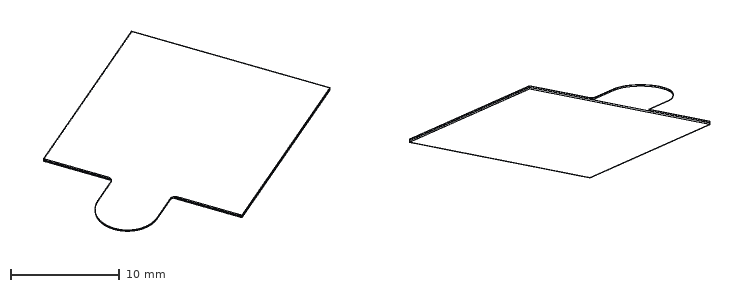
import cadquery as cq

overall_length = 26.5
side = 20.0
sheet_thickness = 0.15
tab_width = 6.0
fillet_radius = 0.5

tab_radius = tab_width / 2
front_edge_y = -side / 2
tab_tip_y = side / 2 - overall_length
tab_arc_center_y = tab_tip_y + tab_radius


def make_backing_sheet():
    """Plain square sheet lying on Z = 0."""
    return cq.Workplane("XY").rect(side, side).extrude(sheet_thickness)


def make_tabbed_sheet():
    """Square sheet on top of the backing, with a round-ended pull tab on its -Y edge."""
    sheet_plane = cq.Workplane("XY").workplane(offset=sheet_thickness)
    square = sheet_plane.rect(side, side).extrude(sheet_thickness)
    tab = (
        sheet_plane.moveTo(-tab_radius, front_edge_y)
        .lineTo(-tab_radius, tab_arc_center_y)
        .threePointArc((0, tab_tip_y), (tab_radius, tab_arc_center_y))
        .lineTo(tab_radius, front_edge_y)
        .close()
        .extrude(sheet_thickness)
    )
    tab_root_corners = cq.selectors.BoxSelector(
        (-tab_width, front_edge_y - fillet_radius, 0),
        (tab_width, front_edge_y + fillet_radius, 2 * sheet_thickness),
    )
    return square.union(tab).edges("|Z").edges(tab_root_corners).fillet(fillet_radius)


backing_sheet = make_backing_sheet()
tabbed_sheet = make_tabbed_sheet()

result = cq.Compound.makeCompound([backing_sheet.val(), tabbed_sheet.val()])